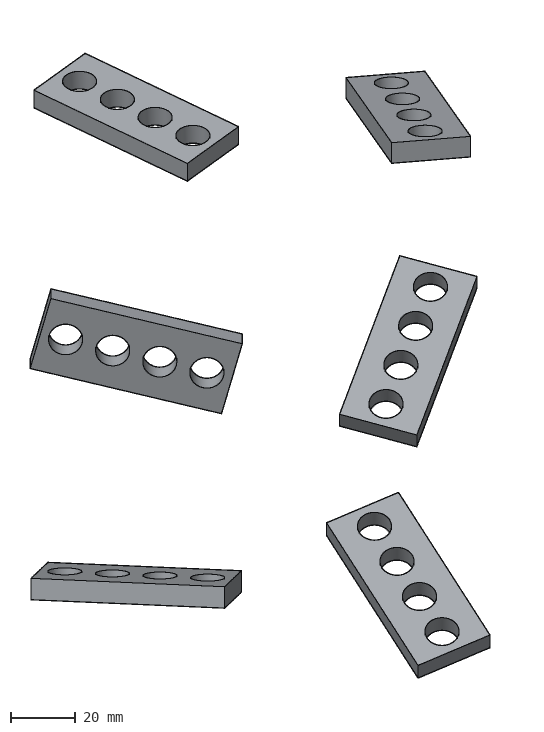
import cadquery as cq

length = 61.0
width = 25.0
thickness = 6.8

hole_count = 4
hole_diameter = 10.5
hole_pitch = 15.0

plate = cq.Workplane("XY").box(length, width, thickness)

result = (
    plate.faces(">Z")
    .workplane()
    .rarray(hole_pitch, 0.6, hole_count, 1)
    .hole(hole_diameter)
)